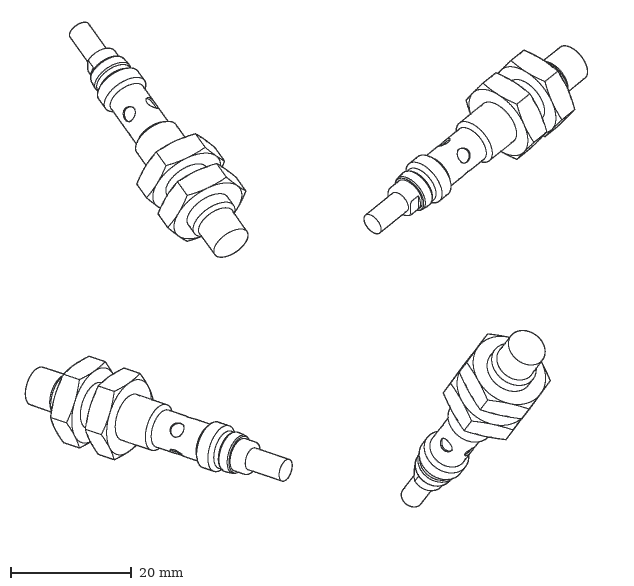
import cadquery as cq
import math

LENGTH = 50.35

CABLE_DIA = 3.85
CONNECTOR_DIA = 5.7
NECK_DIA = 6.5
BARREL_DIA = 8.0
NOSE_ROOT_DIA = 6.7
NOSE_TIP_DIA = 6.6

CABLE_END = 6.85
RING_START = 9.25
COLLAR_START = 12.3
COLLAR_END = 15.85
BARREL_START = 24.95
BARREL_END = 45.4
BEVEL_LENGTH = 0.65

RING_FACE_DIA = 6.35
RING_SHOULDER_DIA = 6.65
RING_CREST_DIA = 6.9
RING_SHOULDER = 9.5
RING_CREST_START = 10.7
RING_CREST_END = 11.1
RING_END = 11.4

CONNECTOR_ROUND = 0.4
FLAT_OFFSET = 2.35
FLAT_END = 8.8

WINDOW_DIA = 2.5
WINDOW_X = 20.4
WINDOW_DEPTH = 0.3
WINDOW_COUNT = 4
WINDOW_START_ANGLE = 45.0

NUT_ACROSS_FLATS = 13.0
NUT_THICKNESS = 4.0
NUT_STARTS = (31.7, 38.75)
NUT_BEVEL_ANGLE = 20.0


def revolve_profile(points):
    """Revolve a list of (x, diameter) points about the X axis."""
    outline = [(x, dia / 2) for x, dia in points]
    first_x, last_x = points[0][0], points[-1][0]
    closed = [(first_x, 0)] + outline + [(last_x, 0)]
    return cq.Workplane("XY").polyline(closed).close().revolve(360, (0, 0, 0), (1, 0, 0))


def x_cylinder(dia, start, end):
    return cq.Workplane("YZ", origin=(start, 0, 0)).circle(dia / 2).extrude(end - start)


def make_connector():
    """Connector plug with a rounded front edge and one key flat."""
    plug = x_cylinder(CONNECTOR_DIA, CABLE_END, RING_START).faces("<X").edges().fillet(CONNECTOR_ROUND)
    flat_length = FLAT_END - CABLE_END
    flat_cut = cq.Workplane("XY").box(
        flat_length, CONNECTOR_DIA, CONNECTOR_DIA, centered=(False, False, True)
    ).translate((CABLE_END, -FLAT_OFFSET - CONNECTOR_DIA, 0))
    return plug.cut(flat_cut)


def make_housing():
    """Ring, collar, neck, barrel and tapered nose as one turned profile."""
    return revolve_profile([
        (RING_START, RING_FACE_DIA),
        (RING_SHOULDER, RING_SHOULDER_DIA),
        (RING_CREST_START, RING_CREST_DIA),
        (RING_CREST_END, RING_CREST_DIA),
        (RING_END, NECK_DIA),
        (COLLAR_START, NECK_DIA),
        (COLLAR_START + BEVEL_LENGTH, BARREL_DIA),
        (COLLAR_END - BEVEL_LENGTH, BARREL_DIA),
        (COLLAR_END, NECK_DIA),
        (BARREL_START, NECK_DIA),
        (BARREL_START + BEVEL_LENGTH, BARREL_DIA),
        (BARREL_END - BEVEL_LENGTH, BARREL_DIA),
        (BARREL_END, NOSE_ROOT_DIA),
        (LENGTH, NOSE_TIP_DIA),
    ])


def make_window_cutters():
    """Radial recesses whose floors are concentric with the neck."""
    core = x_cylinder(NECK_DIA - 2 * WINDOW_DEPTH, COLLAR_END, BARREL_START)
    drill = cq.Workplane("XY", origin=(WINDOW_X, 0, 0)).circle(WINDOW_DIA / 2).extrude(NECK_DIA)
    cutter = drill.cut(core)
    step = 360 / WINDOW_COUNT
    return [
        cutter.rotate((0, 0, 0), (1, 0, 0), WINDOW_START_ANGLE + i * step)
        for i in range(WINDOW_COUNT)
    ]


def make_sensor():
    sensor = x_cylinder(CABLE_DIA, 0, CABLE_END).union(make_connector()).union(make_housing())
    for cutter in make_window_cutters():
        sensor = sensor.cut(cutter)
    return sensor


def make_nut(start):
    """Hexagonal nut with both faces bevelled at the corners and a bore fitting the barrel."""
    across_corners = NUT_ACROSS_FLATS / math.cos(math.radians(30))
    bevel_run = (across_corners - NUT_ACROSS_FLATS) / 2 * math.tan(math.radians(NUT_BEVEL_ANGLE))
    end = start + NUT_THICKNESS
    hexagon = cq.Workplane("YZ", origin=(start, 0, 0)).polygon(6, across_corners).extrude(NUT_THICKNESS)
    bevel_envelope = revolve_profile([
        (start, NUT_ACROSS_FLATS),
        (start + bevel_run, across_corners),
        (end - bevel_run, across_corners),
        (end, NUT_ACROSS_FLATS),
    ])
    return hexagon.intersect(bevel_envelope).cut(x_cylinder(BARREL_DIA, start, end))


sensor = make_sensor()
nuts = [make_nut(start) for start in NUT_STARTS]

result = cq.Compound.makeCompound([sensor.val(), *[nut.val() for nut in nuts]])